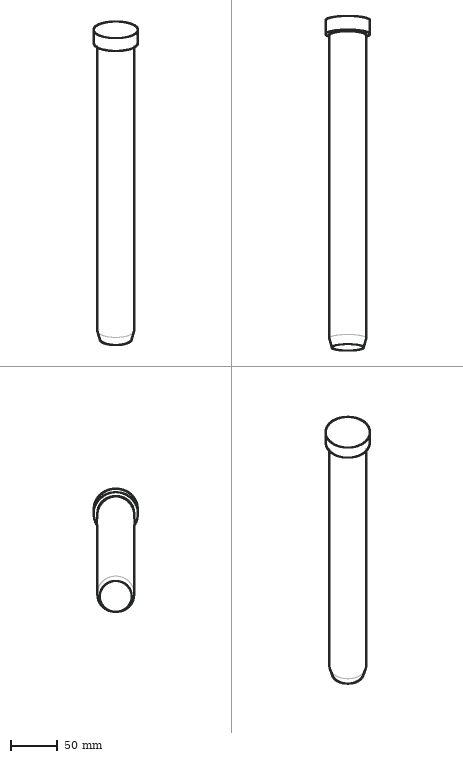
import cadquery as cq

total_length = 360.0
head_diameter = 48.0
head_height = 15.0
shank_diameter = 40.0
tip_diameter = 34.5
tip_length = 10.0
relief_depth = 0.55
relief_width = 1.0

head_bottom = total_length - head_height
relief_bottom = head_bottom - relief_width
relief_diameter = shank_diameter - 2 * relief_depth


def cylinder(diameter, bottom, top):
    """Solid cylinder on the Z axis between two heights."""
    return cq.Workplane("XY", origin=(0, 0, bottom)).circle(diameter / 2).extrude(top - bottom)


tip = (
    cq.Workplane("XY")
    .circle(tip_diameter / 2)
    .workplane(offset=tip_length)
    .circle(shank_diameter / 2)
    .loft(ruled=True)
)

shank = cylinder(shank_diameter, tip_length, relief_bottom)

relief = cylinder(relief_diameter, relief_bottom, head_bottom)

head = cylinder(head_diameter, head_bottom, total_length)

result = tip.union(shank).union(relief).union(head)